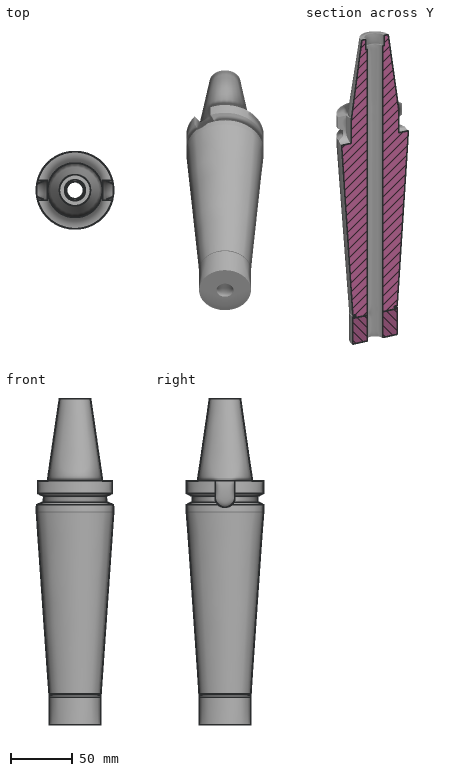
import cadquery as cq

overall_length = 265.5

taper_length = 65.3
gauge_diameter = 44.3
gauge_radius = gauge_diameter / 2
taper_ratio = 7 / 24
taper_end_radius = gauge_radius - taper_length * taper_ratio / 2

flange_diameter = 63.0
flange_radius = flange_diameter / 2
flange_top_z = -1.73
flange_bottom_z = -26.8
gripper_groove_radius = 26.8
gripper_groove_top_z = -11.7
gripper_groove_bottom_z = -21.2
gripper_groove_wall_height = 2.5

slot_width = 16.2
slot_floor_distance = 22.5
slot_bottom_z = -23.0

bottom_z = taper_length - overall_length
nut_diameter = 42.2
nut_radius = nut_diameter / 2
nut_length = 22.5
nut_top_z = bottom_z + nut_length
ring_groove_radius = 18.5
ring_groove_height = 0.8
rim_height = 1.9
rim_top_z = nut_top_z + rim_height

bore_radius = 7.0
counterbore_radius = 8.5
counterbore_depth = 9.0


def make_holder():
    """Taper, flange and tapered body, turned as one profile about Z."""
    wall = gripper_groove_wall_height
    holder = (
        cq.Workplane("XZ")
        .moveTo(bore_radius, nut_top_z)
        .lineTo(nut_radius, nut_top_z)
        .lineTo(nut_radius, rim_top_z)
        .lineTo(ring_groove_radius, rim_top_z)
        .lineTo(ring_groove_radius, rim_top_z + ring_groove_height)
        .lineTo(nut_radius, rim_top_z + ring_groove_height)
        .lineTo(flange_radius, flange_bottom_z)
        .lineTo(flange_radius, gripper_groove_bottom_z)
        .lineTo(gripper_groove_radius, gripper_groove_bottom_z + wall)
        .lineTo(gripper_groove_radius, gripper_groove_top_z - wall)
        .lineTo(flange_radius, gripper_groove_top_z)
        .lineTo(flange_radius, flange_top_z)
        .lineTo(gauge_radius, flange_top_z)
        .lineTo(gauge_radius, 0)
        .lineTo(taper_end_radius, taper_length)
        .lineTo(counterbore_radius, taper_length)
        .lineTo(counterbore_radius, taper_length - counterbore_depth)
        .lineTo(bore_radius, taper_length - counterbore_depth)
        .close()
        .revolve(360, (0, 0, 0), (0, 1, 0))
    )
    for side in (-1, 1):
        holder = holder.cut(make_drive_slot(side))
    return holder


def make_drive_slot(side):
    """Cutter for a drive slot open at the top and outside, with a half-round lower end."""
    half_width = slot_width / 2
    arc_center_z = slot_bottom_z + half_width
    return (
        cq.Workplane("YZ", origin=(side * slot_floor_distance, 0, 0))
        .moveTo(-half_width, flange_top_z)
        .lineTo(-half_width, arc_center_z)
        .threePointArc((0, slot_bottom_z), (half_width, arc_center_z))
        .lineTo(half_width, flange_top_z)
        .close()
        .extrude(side * flange_radius)
    )


def make_nut():
    """Plain ring below the holder, with the bore continued through it."""
    return (
        cq.Workplane("XY", origin=(0, 0, bottom_z))
        .circle(nut_radius)
        .circle(bore_radius)
        .extrude(nut_length)
    )


holder = make_holder()
nut = make_nut()
result = cq.Compound.makeCompound([holder.val(), nut.val()])